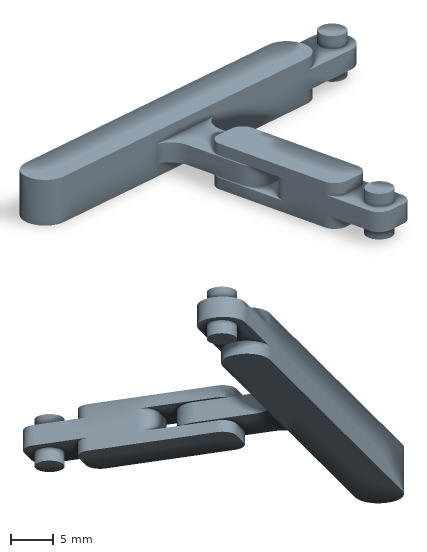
import cadquery as cq

LINK_WIDTH = 6.0
LINK_HEIGHT = 6.0
TAB_THICKNESS = 2.6
PIN_DIAMETER = 3.6
PIN_INSET = 2.8

BAR_LENGTH = 50.0
BAR_TOTAL_LENGTH = 58.0
ROUND_END_RADIUS = 2.9
ARM_CENTER_Y = 25.0
ARM_TIP_X = 20.0
ROOT_FLARE_LENGTH = 3.0
ROOT_FLARE_RISE = 2.1

FORK_START_X = 12.2
FORK_END_X = 32.25
FORK_TAB_TIP_X = 39.2
FORK_CORNER_RADIUS = 1.8
SLOT_CLEARANCE = 0.2
SLOT_HEIGHT = TAB_THICKNESS + 2 * SLOT_CLEARANCE
SLOT_WALL_X = 22.1
SLOT_CORNER_RADIUS = 2.0


def block(x_start, x_end, y_start, y_end, height):
    """Box between the given X and Y limits, centred on Z = 0."""
    return (
        cq.Workplane("XY")
        .box(x_end - x_start, y_end - y_start, height)
        .translate(((x_start + x_end) / 2, (y_start + y_end) / 2, 0))
    )


def pin(x, y):
    """Upright pin through a tab, flush with the full link height."""
    return (
        cq.Workplane("XY", origin=(x, y, -LINK_HEIGHT / 2))
        .circle(PIN_DIAMETER / 2)
        .extrude(LINK_HEIGHT)
    )


def make_t_link():
    """Long bar with a pinned tab at its +Y end and a round-ended side arm."""
    bar_center_x = LINK_WIDTH / 2
    bar = block(0, LINK_WIDTH, 0, BAR_LENGTH, LINK_HEIGHT).edges("|Z").fillet(ROUND_END_RADIUS)
    tab = (
        block(0, LINK_WIDTH, ARM_CENTER_Y, BAR_TOTAL_LENGTH, TAB_THICKNESS)
        .edges("|Z and >Y")
        .fillet(ROUND_END_RADIUS)
    )
    arm = (
        cq.Workplane("XY", origin=(ARM_TIP_X / 2, ARM_CENTER_Y, -TAB_THICKNESS / 2))
        .slot2D(ARM_TIP_X, LINK_WIDTH)
        .extrude(TAB_THICKNESS)
    )
    link = bar.union(tab).union(arm)
    for side in (-1, 1):
        link = link.union(arm_root_flare(side))
    return link.union(pin(bar_center_x, BAR_TOTAL_LENGTH - PIN_INSET))


def arm_root_flare(side):
    """Concave corner on the +Y (1) or -Y (-1) side, tangent to the arm but not to the bar."""
    arm_side_y = ARM_CENTER_Y + side * LINK_WIDTH / 2
    flare_end_x = LINK_WIDTH + ROOT_FLARE_LENGTH
    radius = (ROOT_FLARE_LENGTH**2 + ROOT_FLARE_RISE**2) / (2 * ROOT_FLARE_RISE)
    corner = block(
        LINK_WIDTH,
        flare_end_x,
        min(arm_side_y, arm_side_y + side * ROOT_FLARE_RISE),
        max(arm_side_y, arm_side_y + side * ROOT_FLARE_RISE),
        TAB_THICKNESS,
    )
    hollow = (
        cq.Workplane("XY", origin=(flare_end_x, arm_side_y + side * radius, -TAB_THICKNESS / 2))
        .circle(radius)
        .extrude(TAB_THICKNESS)
    )
    return corner.cut(hollow)


def make_fork_link():
    """Rounded block slotted around the arm, with a pinned tab at its +X end."""
    y_start = ARM_CENTER_Y - LINK_WIDTH / 2
    y_end = ARM_CENTER_Y + LINK_WIDTH / 2
    body = (
        block(FORK_START_X, FORK_END_X, y_start, y_end, LINK_HEIGHT)
        .edges("|Z")
        .fillet(FORK_CORNER_RADIUS)
    )
    slot = block(FORK_START_X, FORK_END_X, y_start, y_end, SLOT_HEIGHT)
    slot_back = (
        block(SLOT_WALL_X, FORK_END_X, y_start, y_end, SLOT_HEIGHT)
        .edges("|Z and <X")
        .fillet(SLOT_CORNER_RADIUS)
    )
    tab = (
        block((SLOT_WALL_X + FORK_END_X) / 2, FORK_TAB_TIP_X, y_start, y_end, TAB_THICKNESS)
        .edges("|Z and >X")
        .fillet(FORK_CORNER_RADIUS)
    )
    fork = body.cut(slot.cut(slot_back)).union(tab)
    return fork.union(pin(FORK_TAB_TIP_X - PIN_INSET, ARM_CENTER_Y))


t_link = make_t_link()
fork_link = make_fork_link()

result = cq.Compound.makeCompound([t_link.val(), fork_link.val()])